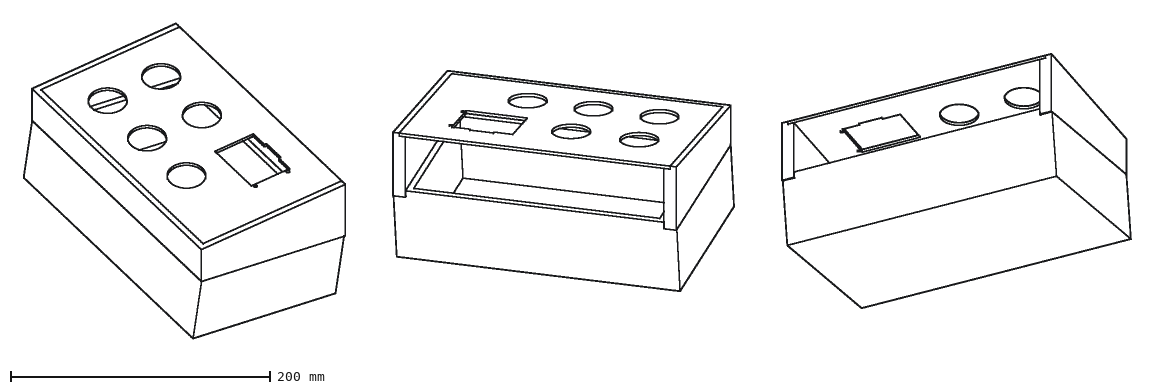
import cadquery as cq
import math

width = 230.0
frame_depth = 135.0
frame_front_height = 32.7
tilt = 8.4
base_depth = 135.0
base_height = 55.0
base_front_inset = 0.2

lid_border = 5.0
lid_thickness = 2.5
frame_wall = 2 * lid_border
base_wall = 5.0
tongue_width = 5.0
tongue_height = 5.0
base_side_wall = frame_wall + tongue_width

button_diameter = 30.0
rear_row_setback = 44.8
front_row_setback = 95.0
rear_button_y = frame_depth - rear_row_setback
front_button_y = frame_depth - front_row_setback
button_centers = [
    (-70.2, rear_button_y),
    (-15.0, rear_button_y),
    (-70.2, front_button_y),
    (-16.5, front_button_y),
    (36.8, front_button_y),
]
window_width = 49.5
window_height = 35.9
window_center_x = 50.5
window_setback = 42.8
window_center_y = frame_depth - window_setback
notch_width = 19.3
notch_depth = 1.8
screw_diameter = 2.5
screw_offset = 1.8
screw_x = window_center_x + window_width / 2 + screw_offset
screw_spacing = 30.4
screw_setback = 43.0
screw_center_y = frame_depth - screw_setback

slope = math.tan(math.radians(tilt))
frame_rear_height = frame_front_height + frame_depth * slope


def block(size_x, y_start, y_end, z_start, z_end):
    """Box centred on X between the given Y and Z limits."""
    return (
        cq.Workplane("XY")
        .box(size_x, y_end - y_start, z_end - z_start, centered=(True, False, False))
        .translate((0, y_start, z_start))
    )


def tilted(body):
    """Move a body from the joint's own axes to its sloping place under the frame."""
    front_y = base_front_inset
    joint_z = -frame_front_height - front_y * slope
    return body.rotate((0, 0, 0), (1, 0, 0), -tilt).translate((0, front_y, joint_z))


def make_lid():
    lid = block(width - 2 * lid_border, lid_border, frame_depth, -lid_thickness, 0)
    buttons = (
        cq.Workplane("XY").pushPoints(button_centers)
        .circle(button_diameter / 2).extrude(-lid_thickness)
    )
    window = (
        cq.Workplane("XY").center(window_center_x, window_center_y)
        .rect(window_width, window_height).extrude(-lid_thickness)
    )
    notch = (
        cq.Workplane("XY").center(window_center_x, window_center_y + window_height / 2)
        .rect(notch_width, 2 * notch_depth).extrude(-lid_thickness)
    )
    screws = (
        cq.Workplane("XY").center(screw_x, screw_center_y)
        .rarray(2.3, screw_spacing, 1, 2).circle(screw_diameter / 2).extrude(-lid_thickness)
    )
    return lid.cut(buttons).cut(window).cut(notch).cut(screws)


def make_frame():
    """Wedge-shaped surround, open at the rear, with a recess for the lid."""
    wedge = (
        cq.Workplane("YZ")
        .polyline([
            (0, 0),
            (frame_depth, 0),
            (frame_depth, -frame_rear_height),
            (0, -frame_front_height),
        ])
        .close().extrude(width / 2, both=True)
    )
    inside = block(width - 2 * frame_wall, frame_wall, frame_depth, -frame_rear_height, 0)
    lid_recess = block(width - 2 * lid_border, lid_border, frame_depth, -lid_thickness, 0)
    return wedge.cut(inside).cut(lid_recess)


def make_base(frame):
    """Tilted open box with a raised tongue that fits inside the frame."""
    shell = block(width, 0, base_depth, -base_height, 0)
    tongue = block(width - 2 * frame_wall, 0, base_depth, 0, tongue_height)
    cavity = block(
        width - 2 * base_side_wall, base_side_wall, base_depth - base_wall,
        -base_height + base_wall, tongue_height,
    )
    return tilted(shell.union(tongue).cut(cavity)).cut(frame)


lid = make_lid()
frame = make_frame()
base = make_base(frame)

result = cq.Compound.makeCompound([lid.val(), frame.val(), base.val()])